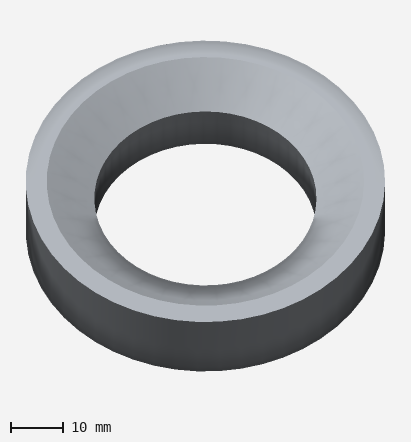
import cadquery as cq
import math

outer_diameter = 68.0
bore_diameter = 42.0
seat_diameter = 60.05
seat_angle = 120.0
height = 15.0

outer_radius = outer_diameter / 2
bore_radius = bore_diameter / 2
seat_radius = seat_diameter / 2
seat_depth = (seat_radius - bore_radius) / math.tan(math.radians(seat_angle / 2))

section = (
    cq.Workplane("XZ")
    .moveTo(bore_radius, 0)
    .lineTo(outer_radius, 0)
    .lineTo(outer_radius, height)
    .lineTo(seat_radius, height)
    .lineTo(bore_radius, height - seat_depth)
    .close()
)

result = section.revolve(360, (0, 0, 0), (0, 1, 0))